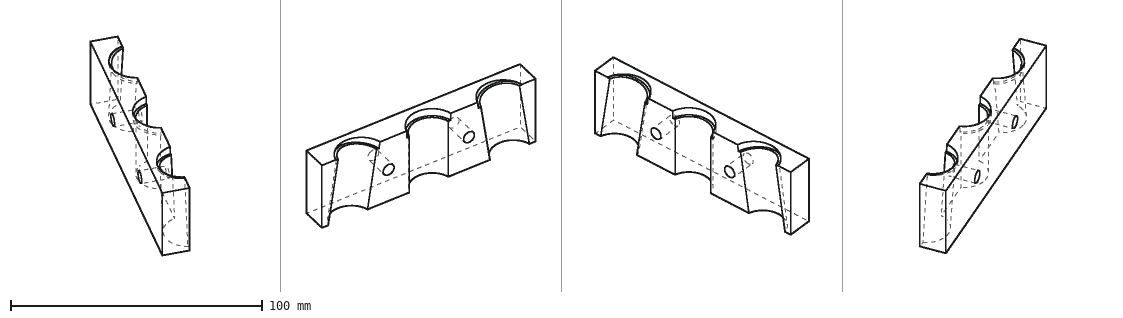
import cadquery as cq

LENGTH = 101.6
THICKNESS = 11.4
HEIGHT = 31.7

GROOVE_RADIUS = 9.5
SEAT_RADIUS = 10.7
AXIS_BEYOND_BACK = 2.4
GROOVE_SPACING = 33.7
OUTER_TILT = 8.5
MIDDLE_SEAT_DEPTH = 3.6
OUTER_SEAT_DEPTH = 1.6
OVERCUT = 10.2

HOLE_DIAMETER = 5.2
HOLE_SPACING = 38.2


def groove_cutter(x_top, tilt, seat_depth):
    """Bore with a wider seat at its top; positive tilt leans the lower end toward -X."""
    bore_length = HEIGHT + 2 * OVERCUT
    bore = cq.Workplane("XY").circle(GROOVE_RADIUS).extrude(bore_length)
    bore = bore.translate((0, 0, OVERCUT - bore_length))
    seat = cq.Workplane("XY").circle(SEAT_RADIUS).extrude(seat_depth + OVERCUT)
    seat = seat.translate((0, 0, -seat_depth))
    cutter = bore.union(seat).rotate((0, 0, 0), (0, 1, 0), tilt)
    return cutter.translate((x_top, THICKNESS + AXIS_BEYOND_BACK, HEIGHT / 2))


block = cq.Workplane("XY").box(LENGTH, THICKNESS, HEIGHT, centered=(True, False, True))

block = block.cut(groove_cutter(0, 0, MIDDLE_SEAT_DEPTH))
for side in (-1, 1):
    block = block.cut(groove_cutter(side * GROOVE_SPACING, -side * OUTER_TILT, OUTER_SEAT_DEPTH))

holes = (
    cq.Workplane("XZ")
    .pushPoints([(-HOLE_SPACING / 2, 0), (HOLE_SPACING / 2, 0)])
    .circle(HOLE_DIAMETER / 2)
    .extrude(-THICKNESS)
)
result = block.cut(holes)